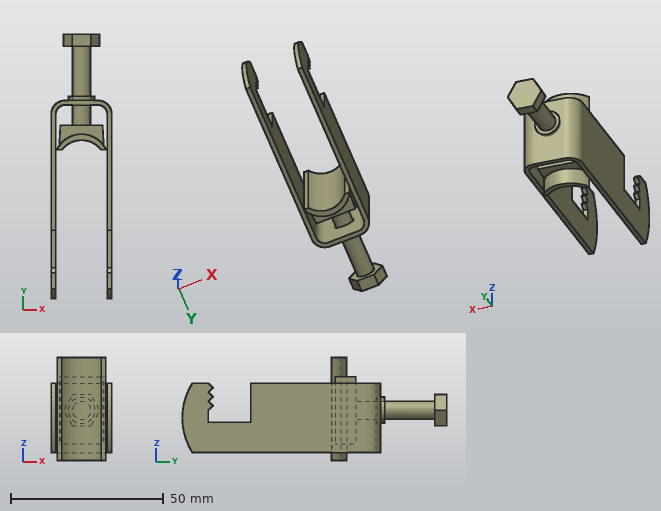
import cadquery as cq
import math


strap_width = 20.0
strap_height = 22.8
strap_length = 65.25
strap_thickness = 1.6
bend_radius = 4.6

slot_start = 42.7
slot_end = 56.6
slot_floor = 10.0
tooth_count = 3
tooth_pitch = 3.0
tooth_depth = 1.6
nose_start = 61.95

bolt_height = 13.9
shank_diameter = 6.0
head_corner_diameter = 11.9
head_thickness = 4.0
head_end = 21.75

collar_diameter = 8.7
collar_height = 1.3
collar_fillet = 0.22
mouth_fillet = 1.65

block_face = 8.2
block_end = 15.0
block_face_width = 13.9
block_height = 22.1

saddle_bottom = -2.7
saddle_height = 34.0
saddle_outer_apex = 11.1
saddle_inner_apex = 13.1
saddle_rim = 16.3
saddle_rim_land = 0.3
saddle_width = 16.0
saddle_opening = 12.9
saddle_land_top = saddle_rim - saddle_rim_land


def rod(diameter, y_start, y_end):
    """Solid cylinder on the bolt axis between two Y positions."""
    plane = cq.Plane(origin=(0, y_start, bolt_height), xDir=(1, 0, 0), normal=(0, 1, 0))
    return cq.Workplane(plane).circle(diameter / 2).extrude(y_end - y_start)


def bent_sheet():
    """U-shaped sheet, full height, before the arm ends are cut."""
    outer_bends = (
        cq.Workplane("XY")
        .box(strap_width, strap_length, strap_height, centered=(True, False, False))
        .translate((0, -strap_length, 0))
        .edges("|Z and >Y")
        .fillet(bend_radius)
    )
    inside = (
        cq.Workplane("XY")
        .box(strap_width - 2 * strap_thickness, strap_length, strap_height, centered=(True, False, False))
        .translate((0, -strap_length - strap_thickness, 0))
        .edges("|Z and >Y")
        .fillet(bend_radius - strap_thickness)
    )
    return outer_bends.cut(inside)


def arm_profile():
    """Side outline of both arms, with the toothed slot and the rounded nose."""
    outline = (
        cq.Workplane("YZ", origin=(-strap_width / 2, 0, 0))
        .lineTo(-nose_start, 0)
        .threePointArc((-strap_length, strap_height / 2), (-nose_start, strap_height))
        .lineTo(-slot_end, strap_height)
    )
    for tooth in range(tooth_count):
        tooth_top = strap_height - tooth * tooth_pitch
        outline = outline.lineTo(-slot_end + tooth_depth, tooth_top - tooth_pitch / 2)
        outline = outline.lineTo(-slot_end, tooth_top - tooth_pitch)
    outline = (
        outline.lineTo(-slot_end, slot_floor)
        .lineTo(-slot_start, slot_floor)
        .lineTo(-slot_start, strap_height)
        .lineTo(0, strap_height)
        .close()
    )
    return outline.extrude(strap_width)


def circles_at(body, y):
    """Circular edges around the bolt axis that lie in the plane at a given Y."""
    reach = collar_diameter
    margin = 0.1
    near_plane = cq.selectors.BoxSelector(
        (-reach, y - margin, bolt_height - reach),
        (reach, y + margin, bolt_height + reach),
    )
    return body.edges("%CIRCLE").edges(near_plane)


def add_collar(sheet):
    """Raise the collar on the back plate and blend its foot into the plate."""
    with_collar = sheet.union(rod(collar_diameter, -strap_thickness, collar_height))
    return circles_at(with_collar, 0).fillet(collar_fillet)


def cut_bolt_hole(sheet):
    """Bore the plate and collar for the shank and round the inner mouth of the hole."""
    bored = sheet.cut(rod(shank_diameter, -strap_thickness, collar_height))
    return circles_at(bored, -strap_thickness).fillet(mouth_fillet)


def make_strap():
    sheet = bent_sheet().intersect(arm_profile())
    return cut_bolt_hole(add_collar(sheet))


def make_bolt():
    head_plane = cq.Plane(
        origin=(0, head_end - head_thickness, bolt_height), xDir=(1, 0, 0), normal=(0, 1, 0)
    )
    head = cq.Workplane(head_plane).polygon(6, head_corner_diameter).extrude(head_thickness)
    shank = rod(shank_diameter, -block_face, head_end - head_thickness)
    return head.union(shank)


def make_saddle():
    half_width = saddle_width / 2
    half_opening = saddle_opening / 2
    return (
        cq.Workplane("XY", origin=(0, 0, saddle_bottom))
        .moveTo(-half_width, -saddle_rim)
        .lineTo(-half_width, -saddle_land_top)
        .threePointArc((0, -saddle_outer_apex), (half_width, -saddle_land_top))
        .lineTo(half_width, -saddle_rim)
        .lineTo(half_opening, -saddle_rim)
        .threePointArc((0, -saddle_inner_apex), (-half_opening, -saddle_rim))
        .close()
        .extrude(saddle_height)
    )


def saddle_half_width_at(depth):
    """Half width of the saddle's outer arc at a given depth behind the back plate."""
    half_span = saddle_width / 2
    rise = saddle_land_top - saddle_outer_apex
    radius = (half_span**2 + rise**2) / (2 * rise)
    return math.sqrt(radius**2 - (radius - (depth - saddle_outer_apex)) ** 2)


def make_block():
    """Tapered block behind the saddle, its front hollowed to the saddle's outer arc."""
    half_face = block_face_width / 2
    half_end = saddle_half_width_at(block_end)
    return (
        cq.Workplane("XY", origin=(0, 0, bolt_height - block_height / 2))
        .moveTo(-half_face, -block_face)
        .lineTo(half_face, -block_face)
        .lineTo(half_end, -block_end)
        .threePointArc((0, -saddle_outer_apex), (-half_end, -block_end))
        .close()
        .extrude(block_height)
    )


strap = make_strap()
bolt = make_bolt()
block = make_block()
saddle = make_saddle()

result = cq.Compound.makeCompound([strap.val(), bolt.val(), block.val(), saddle.val()])